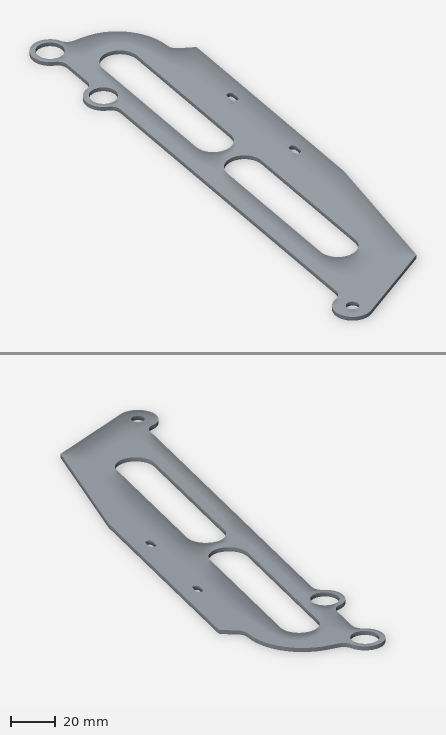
import cadquery as cq
import math

thickness = 2.0
ear_radius = 9.1
left_ear_x = 0
middle_ear_x = 42.8
right_ear_x = 242.7
large_hole_diameter = 13.0
small_hole_diameter = 6.0

bottom_y = 0.3
top_y = 55.8
left_x = -0.8
shoulder_radius = 27.5
shoulder_center_y = 18.3
step_top_x = 33.7
step_foot_x = 28.5
top_break_x = 152.0
right_corner = (225.0, 46.0)
blend_radius = 5.2

window_centers_x = (62.0, 162.0)
window_y = 21.0
window_length = 93.2
window_width = 18.3
mount_slot_centers_x = (75.5, 125.5)
mount_slot_y = 47.2
mount_slot_length = 6.8
mount_slot_width = 3.5

shoulder_center_x = left_x + shoulder_radius


def shoulder_point(angle):
    return (
        shoulder_center_x + shoulder_radius * math.cos(angle),
        shoulder_center_y + shoulder_radius * math.sin(angle),
    )


step_angle = math.acos((step_foot_x - shoulder_center_x) / shoulder_radius)
step_foot = shoulder_point(step_angle)
shoulder_middle = shoulder_point((step_angle + math.pi) / 2)

corner_dx = right_corner[0] - right_ear_x
corner_dy = right_corner[1]
corner_distance = math.hypot(corner_dx, corner_dy)
tangent_angle = math.atan2(corner_dy, corner_dx) - math.acos(ear_radius / corner_distance)
right_tangent = (
    right_ear_x + ear_radius * math.cos(tangent_angle),
    ear_radius * math.sin(tangent_angle),
)

plate = (
    cq.Workplane("XY")
    .moveTo(left_x, bottom_y)
    .lineTo(left_x, shoulder_center_y)
    .threePointArc(shoulder_middle, step_foot)
    .lineTo(step_top_x, top_y)
    .lineTo(top_break_x, top_y)
    .lineTo(*right_corner)
    .lineTo(*right_tangent)
    .lineTo(right_ear_x, bottom_y)
    .close()
    .extrude(thickness)
)

for ear_x in (left_ear_x, middle_ear_x, right_ear_x):
    ear = cq.Workplane("XY").center(ear_x, 0).circle(ear_radius).extrude(thickness)
    plate = plate.union(ear)

ear_half_chord = math.sqrt(ear_radius**2 - bottom_y**2)
inside_corners = [
    step_foot,
    (left_x, math.sqrt(ear_radius**2 - left_x**2)),
    (left_ear_x + ear_half_chord, bottom_y),
    (middle_ear_x - ear_half_chord, bottom_y),
    (middle_ear_x + ear_half_chord, bottom_y),
    (right_ear_x - ear_half_chord, bottom_y),
]
for x, y in inside_corners:
    corner_edge = cq.selectors.NearestToPointSelector((x, y, thickness / 2))
    plate = plate.edges("|Z").edges(corner_edge).fillet(blend_radius)


def cut_holes(body, points, diameter):
    cutter = cq.Workplane("XY").pushPoints(points).circle(diameter / 2).extrude(thickness)
    return body.cut(cutter)


def cut_slots(body, centers_x, y, length, width):
    points = [(x, y) for x in centers_x]
    cutter = cq.Workplane("XY").pushPoints(points).slot2D(length, width).extrude(thickness)
    return body.cut(cutter)


plate = cut_holes(plate, [(left_ear_x, 0), (middle_ear_x, 0)], large_hole_diameter)
plate = cut_holes(plate, [(right_ear_x, 0)], small_hole_diameter)
plate = cut_slots(plate, window_centers_x, window_y, window_length, window_width)
plate = cut_slots(plate, mount_slot_centers_x, mount_slot_y, mount_slot_length, mount_slot_width)

result = plate